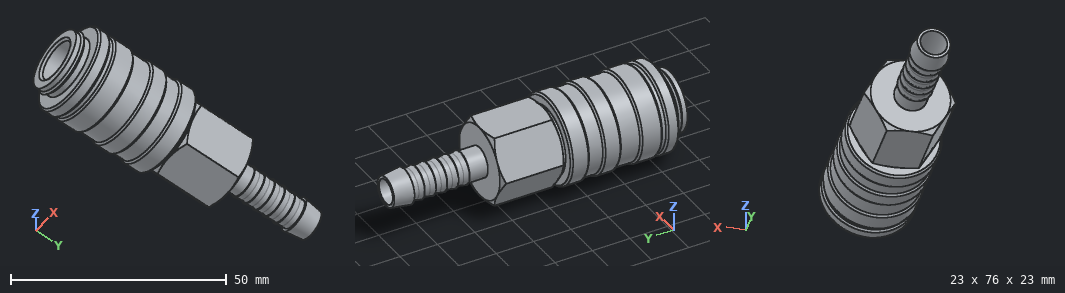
import cadquery as cq
import math

total_length = 76.0

mouth_radius = 8.0
snap_ring_radius = 8.5
snap_ring_middle = 1.9
snap_ring_half_width = 0.5

sleeve_diameter = 23.0
sleeve_radius = sleeve_diameter / 2
sleeve_start = 4.0
sleeve_end = 33.05
edge_chamfer = 0.5
groove_depth = edge_chamfer
grooves = [(7.0, 9.0), (14.0, 20.0), (23.9, 28.5)]

neck_radius = 8.9
hex_start = 34.0
hex_end = 51.0
hex_sides = 6
hex_across_flats = 19.0
hex_chamfer_angle = 30.0

tail_radius = 3.95
tip_barb_radius = 4.6
tip_barb_length = 5.0
small_barb_radius = 4.25
small_barb_length = 1.5
small_barb_count = 5
small_barb_row_length = 15.0
barb_pitch = small_barb_row_length / small_barb_count

socket_radius = 5.25
socket_depth = sleeve_end
socket_chamfer = 0.6
through_hole_radius = 3.2


def turned(points):
    """Solid of revolution about Y from (radius, station) points, closed along the axis."""
    (_, first_station), (_, last_station) = points[0], points[-1]
    outline = [(0, first_station)] + points + [(0, last_station)]
    return cq.Workplane("XY").polyline(outline).close().revolve(360, (0, 0, 0), (0, 1, 0))


def cylinder(radius, start, end):
    return turned([(radius, start), (radius, end)])


def make_mouth():
    body = cylinder(mouth_radius, 0, sleeve_start)
    snap_ring = turned([
        (mouth_radius, snap_ring_middle - snap_ring_half_width),
        (snap_ring_radius, snap_ring_middle),
        (mouth_radius, snap_ring_middle + snap_ring_half_width),
    ])
    return body.union(snap_ring)


def make_sleeve():
    """Sleeve with chamfered ends and shallow grooves with 45 degree walls."""
    end_radius = sleeve_radius - edge_chamfer
    floor_radius = sleeve_radius - groove_depth
    points = [(end_radius, sleeve_start), (sleeve_radius, sleeve_start + edge_chamfer)]
    for start, end in grooves:
        points += [
            (sleeve_radius, start),
            (floor_radius, start + groove_depth),
            (floor_radius, end - groove_depth),
            (sleeve_radius, end),
        ]
    points += [(sleeve_radius, sleeve_end - edge_chamfer), (end_radius, sleeve_end)]
    return turned(points)


def make_hexagon():
    """Hexagon with corners on +X and -X, its corners chamfered by a cone at both ends."""
    flat_radius = hex_across_flats / 2
    corner_radius = flat_radius / math.cos(math.pi / hex_sides)
    corner_drop = (corner_radius - flat_radius) * math.tan(math.radians(hex_chamfer_angle))
    prism = (
        cq.Workplane("XZ", origin=(0, hex_start, 0))
        .polygon(hex_sides, 2 * corner_radius)
        .extrude(hex_start - hex_end)
    )
    chamfer_envelope = turned([
        (flat_radius, hex_start),
        (corner_radius, hex_start + corner_drop),
        (corner_radius, hex_end - corner_drop),
        (flat_radius, hex_end),
    ])
    return prism.intersect(chamfer_envelope)


def make_hose_tail():
    """Plain tail with a row of small barbs and one large barb at the tip."""
    tip_barb_start = total_length - tip_barb_length
    tail = cylinder(tail_radius, hex_end, tip_barb_start)
    tail = tail.union(turned([(tip_barb_radius, tip_barb_start), (tail_radius, total_length)]))
    for number in range(1, small_barb_count + 1):
        start = tip_barb_start - number * barb_pitch
        barb = turned([(small_barb_radius, start), (tail_radius, start + small_barb_length)])
        tail = tail.union(barb)
    return tail


def make_bores():
    """Chamfered socket at the mouth, then a narrower hole through to the tail tip."""
    socket = turned([
        (socket_radius + socket_chamfer, 0),
        (socket_radius, socket_chamfer),
        (socket_radius, socket_depth),
    ])
    return socket.union(cylinder(through_hole_radius, 0, total_length))


neck = cylinder(neck_radius, sleeve_end, hex_start)
body = make_mouth().union(make_sleeve()).union(neck).union(make_hexagon()).union(make_hose_tail())
coupling = body.cut(make_bores())

result = coupling.translate((0, -total_length / 2, 0))